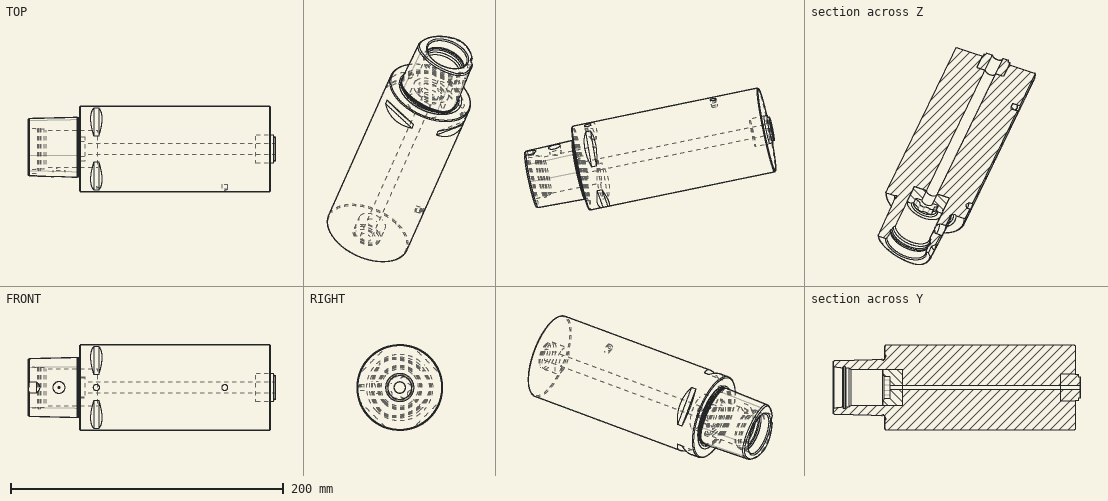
import cadquery as cq
import math

TOTAL_LENGTH = 181.6
FLANGE_FACE_X = 38.0
BODY_END_X = 178.0
BODY_RADIUS = 31.5
BODY_CHAMFER = 0.7

SHANK_END_X = 36.0
SHANK_LOBE_OFFSET = 9.6
SHANK_LOBE_RADIUS = 13.8
SHANK_TAPER = math.degrees(math.atan(1 / 40))
SHANK_TIP_CHAMFER_LENGTH = 1.3
SHANK_TIP_CHAMFER_DEPTH = 0.7
NECK_INSET = 0.7
NECK_CHAMFER_LENGTH = 0.5
BASE_LENGTH = 0.9
BASE_INSET = 0.2

FACE_GROOVE_INNER_RADIUS = 22.3
FACE_GROOVE_OUTER_RADIUS = 24.3
FACE_GROOVE_DEPTH = 0.7

BORE_MOUTH_RADIUS = 16.3
BORE_ENTRY_RADIUS = 15.5
BORE_MOUTH_CHAMFER = 0.9
BORE_LIP_RADIUS = 14.7
BORE_LIP_X = 7.0
BORE_GROOVE_RADIUS = 15.6
BORE_GROOVE_START_X = 7.6
BORE_GROOVE_END_X = 8.9
BORE_SEAT_START_X = 9.5
BORE_SEAT_END_X = 11.6
BORE_RADIUS = 13.6
BORE_CONE_END_X = 13.0

KEY_GROOVE_RADIUS = 5.0
KEY_GROOVE_FLOOR = 17.8
KEY_GROOVE_LENGTH = 6.4
CROSS_HOLE_X = 22.7
CROSS_HOLE_RADIUS = 4.4
CROSS_HOLE_FLOOR = 15.8
DRILL_HALF_ANGLE = math.radians(59)

SLOT_X = 50.1
SLOT_COUNT = 4
SLOT_FLOOR_DISTANCE = 28.0
SLOT_FLOOR_WIDTH = 3.6
SLOT_SIDE_ANGLE = math.radians(34)

MARK_HOLE_RADIUS = 2.27
MARK_HOLE_DEPTH = 2.7
PIN_X = 144.4
PIN_RADIUS = 2.2
PIN_HOLE_DEPTH = 5.5
PIN_TOP_RECESS = 1.0
PIN_TIP_HEIGHT = 0.9

SCREW_FACE_X = 36.3
SCREW_LENGTH = 14.5
COOLANT_RADIUS = 4.09
SOCKET_MOUTH_RADIUS = 10.4
SOCKET_ENTRY_RADIUS = 9.3
SOCKET_LOBES = 6
SOCKET_LOBE_RADIUS = 8.7
SOCKET_WAIST_RADIUS = 6.9
SOCKET_DEPTH = 5.5

SPIGOT_RADIUS = 10.4
SPIGOT_TIP_RADIUS = 8.7
SPIGOT_SEAT_DEPTH = 10.9
SPIGOT_SHOULDER_X = 180.1
SPIGOT_FILLET = 0.9


def polar(radius, degrees):
    angle = math.radians(degrees)
    return (radius * math.cos(angle), radius * math.sin(angle))


def turned(profile):
    """Revolve a closed list of (x, radius) points around the X axis."""
    return cq.Workplane("XY").polyline(profile).close().revolve(360, (0, 0, 0), (1, 0, 0))


def x_cylinder(start_x, end_x, radius):
    return cq.Workplane("YZ", origin=(start_x, 0, 0)).circle(radius).extrude(end_x - start_x)


def radial_drill(x, radius, floor, outside):
    """Drill-shaped cutter entering from -Y, its full diameter ending at `floor` from the X axis."""
    tip = floor - radius / math.tan(DRILL_HALF_ANGLE)
    profile = [(x, -outside), (x + radius, -outside), (x + radius, -floor), (x, -tip)]
    return cq.Workplane("XY").polyline(profile).close().revolve(360, (x, 0, 0), (x, 1, 0))


def lobed_prism(start_x, length, inset, taper):
    """Lobed prism from start_x toward -X, its outline moved inward by `inset`."""
    lobe_radius = SHANK_LOBE_RADIUS - inset
    side_radius = lobe_radius + SHANK_LOBE_OFFSET * math.sqrt(3)
    side_middle = side_radius - SHANK_LOBE_OFFSET

    def lobe_point(lobe_angle, normal_angle):
        center = polar(SHANK_LOBE_OFFSET, lobe_angle)
        reach = polar(lobe_radius, normal_angle)
        return (center[0] + reach[0], center[1] + reach[1])

    plane = cq.Plane(origin=(start_x, 0, 0), xDir=(0, 1, 0), normal=(-1, 0, 0))
    outline = cq.Workplane(plane).moveTo(*lobe_point(0, -30))
    for lobe_angle in (0, 120, 240):
        tip = lobe_point(lobe_angle, lobe_angle)
        outline = outline.threePointArc(tip, lobe_point(lobe_angle, lobe_angle + 30))
        next_lobe = lobe_angle + 120
        side = polar(side_middle, lobe_angle + 60)
        outline = outline.threePointArc(side, lobe_point(next_lobe, next_lobe - 30))
    return outline.close().extrude(length, taper=taper)


def make_shank():
    cone_length = SHANK_END_X - SHANK_TIP_CHAMFER_LENGTH
    tip_inset = cone_length * math.tan(math.radians(SHANK_TAPER))
    tip_angle = math.degrees(math.atan(SHANK_TIP_CHAMFER_DEPTH / SHANK_TIP_CHAMFER_LENGTH))
    neck_angle = math.degrees(math.atan(NECK_INSET / NECK_CHAMFER_LENGTH))
    neck_x = SHANK_END_X + NECK_CHAMFER_LENGTH
    cone = lobed_prism(SHANK_END_X, cone_length, 0, SHANK_TAPER)
    tip = lobed_prism(SHANK_TIP_CHAMFER_LENGTH, SHANK_TIP_CHAMFER_LENGTH, tip_inset, tip_angle)
    neck_chamfer = lobed_prism(neck_x, NECK_CHAMFER_LENGTH, NECK_INSET, -neck_angle)
    neck = lobed_prism(FLANGE_FACE_X, FLANGE_FACE_X - neck_x, NECK_INSET, 0)
    base = lobed_prism(FLANGE_FACE_X, BASE_LENGTH, BASE_INSET, 0)
    return cone.union(tip).union(neck_chamfer).union(neck).union(base)


def make_body():
    return x_cylinder(FLANGE_FACE_X, BODY_END_X, BODY_RADIUS).edges().chamfer(BODY_CHAMFER)


def face_groove_cutter():
    middle_radius = (FACE_GROOVE_INNER_RADIUS + FACE_GROOVE_OUTER_RADIUS) / 2
    section = (
        cq.Workplane("XY")
        .moveTo(FLANGE_FACE_X, FACE_GROOVE_INNER_RADIUS)
        .threePointArc(
            (FLANGE_FACE_X + FACE_GROOVE_DEPTH, middle_radius),
            (FLANGE_FACE_X, FACE_GROOVE_OUTER_RADIUS),
        )
        .close()
    )
    return section.revolve(360, (0, 0, 0), (1, 0, 0))


def bore_cutter():
    return turned([
        (0, 0),
        (0, BORE_MOUTH_RADIUS),
        (BORE_MOUTH_CHAMFER, BORE_ENTRY_RADIUS),
        (BORE_LIP_X, BORE_LIP_RADIUS),
        (BORE_GROOVE_START_X, BORE_GROOVE_RADIUS),
        (BORE_GROOVE_END_X, BORE_GROOVE_RADIUS),
        (BORE_SEAT_START_X, BORE_LIP_RADIUS),
        (BORE_SEAT_END_X, BORE_LIP_RADIUS),
        (BORE_CONE_END_X, BORE_RADIUS),
        (SCREW_FACE_X + SCREW_LENGTH, BORE_RADIUS),
        (SCREW_FACE_X + SCREW_LENGTH, 0),
    ])


def key_groove_cutter():
    groove = turned([
        (0, 0),
        (0, KEY_GROOVE_RADIUS),
        (KEY_GROOVE_LENGTH, KEY_GROOVE_RADIUS),
        (KEY_GROOVE_LENGTH + KEY_GROOVE_RADIUS, 0),
    ])
    return groove.translate((0, -KEY_GROOVE_FLOOR - KEY_GROOVE_RADIUS, 0))


def slot_cutter(angle):
    """Trapezoidal straight slot across the +Z side, turned about X by `angle`."""
    depth = BODY_RADIUS - SLOT_FLOOR_DISTANCE
    floor_half = SLOT_FLOOR_WIDTH / 2
    top_half = floor_half + depth * math.tan(SLOT_SIDE_ANGLE)
    section = [
        (SLOT_X - floor_half, SLOT_FLOOR_DISTANCE),
        (SLOT_X + floor_half, SLOT_FLOOR_DISTANCE),
        (SLOT_X + top_half, BODY_RADIUS),
        (SLOT_X - top_half, BODY_RADIUS),
    ]
    slot = cq.Workplane("XZ").polyline(section).close().extrude(BODY_RADIUS, both=True)
    return slot.rotate((0, 0, 0), (1, 0, 0), angle)


def make_housing():
    first_slot_angle = 180 / SLOT_COUNT
    slot_pitch = 360 / SLOT_COUNT
    housing = make_body().cut(face_groove_cutter()).union(make_shank())
    housing = housing.cut(bore_cutter())
    housing = housing.cut(x_cylinder(0, TOTAL_LENGTH, COOLANT_RADIUS))
    housing = housing.cut(key_groove_cutter())
    housing = housing.cut(radial_drill(CROSS_HOLE_X, CROSS_HOLE_RADIUS, CROSS_HOLE_FLOOR, BODY_RADIUS))
    for index in range(SLOT_COUNT):
        housing = housing.cut(slot_cutter(first_slot_angle + index * slot_pitch))
    mark_floor = BODY_RADIUS - MARK_HOLE_DEPTH
    housing = housing.cut(radial_drill(SLOT_X, MARK_HOLE_RADIUS, mark_floor, BODY_RADIUS))
    pin_mouth = cq.Workplane("XZ", origin=(PIN_X, -BODY_RADIUS, 0))
    pin_hole = pin_mouth.circle(PIN_RADIUS).extrude(-PIN_HOLE_DEPTH)
    spigot_seat = x_cylinder(BODY_END_X - SPIGOT_SEAT_DEPTH, BODY_END_X, SPIGOT_RADIUS)
    return housing.cut(pin_hole).cut(spigot_seat)


def socket_cutter():
    """Six-lobe socket with a conical mouth, open toward -X."""
    mouth_depth = SOCKET_MOUTH_RADIUS - SOCKET_ENTRY_RADIUS
    mouth = turned([
        (SCREW_FACE_X, 0),
        (SCREW_FACE_X, SOCKET_MOUTH_RADIUS),
        (SCREW_FACE_X + mouth_depth, SOCKET_ENTRY_RADIUS),
        (SCREW_FACE_X + mouth_depth, 0),
    ])
    pitch = 360 / SOCKET_LOBES
    join_radius = (SOCKET_LOBE_RADIUS + SOCKET_WAIST_RADIUS) / 2
    outline = cq.Workplane("YZ", origin=(SCREW_FACE_X, 0, 0)).moveTo(*polar(join_radius, -pitch / 4))
    for index in range(SOCKET_LOBES):
        lobe_angle = index * pitch
        lobe_tip = polar(SOCKET_LOBE_RADIUS, lobe_angle)
        waist = polar(SOCKET_WAIST_RADIUS, lobe_angle + pitch / 2)
        outline = outline.threePointArc(lobe_tip, polar(join_radius, lobe_angle + pitch / 4))
        outline = outline.threePointArc(waist, polar(join_radius, lobe_angle + 3 * pitch / 4))
    return mouth.union(outline.close().extrude(SOCKET_DEPTH))


def make_screw():
    screw = x_cylinder(SCREW_FACE_X, SCREW_FACE_X + SCREW_LENGTH, BORE_RADIUS)
    coolant_hole = x_cylinder(SCREW_FACE_X, SCREW_FACE_X + SCREW_LENGTH, COOLANT_RADIUS)
    return screw.cut(socket_cutter()).cut(coolant_hole)


def make_spigot():
    seat_x = BODY_END_X - SPIGOT_SEAT_DEPTH
    section = (
        cq.Workplane("XY")
        .moveTo(seat_x, COOLANT_RADIUS)
        .lineTo(seat_x, SPIGOT_RADIUS)
        .lineTo(SPIGOT_SHOULDER_X, SPIGOT_RADIUS)
        .lineTo(SPIGOT_SHOULDER_X, SPIGOT_TIP_RADIUS + SPIGOT_FILLET)
        .radiusArc((SPIGOT_SHOULDER_X + SPIGOT_FILLET, SPIGOT_TIP_RADIUS), -SPIGOT_FILLET)
        .lineTo(TOTAL_LENGTH, SPIGOT_TIP_RADIUS)
        .lineTo(TOTAL_LENGTH, COOLANT_RADIUS)
        .close()
    )
    return section.revolve(360, (0, 0, 0), (1, 0, 0))


def make_pin():
    """Pin with a low conical head, sunk below the body surface."""
    floor_y = PIN_HOLE_DEPTH - BODY_RADIUS
    tip_y = PIN_TOP_RECESS - BODY_RADIUS
    shoulder_y = tip_y + PIN_TIP_HEIGHT
    profile = [
        (PIN_X, floor_y),
        (PIN_X + PIN_RADIUS, floor_y),
        (PIN_X + PIN_RADIUS, shoulder_y),
        (PIN_X, tip_y),
    ]
    return cq.Workplane("XY").polyline(profile).close().revolve(360, (PIN_X, 0, 0), (PIN_X, 1, 0))


housing = make_housing()
screw = make_screw()
spigot = make_spigot()
pin = make_pin()

result = cq.Compound.makeCompound([housing.val(), screw.val(), spigot.val(), pin.val()])